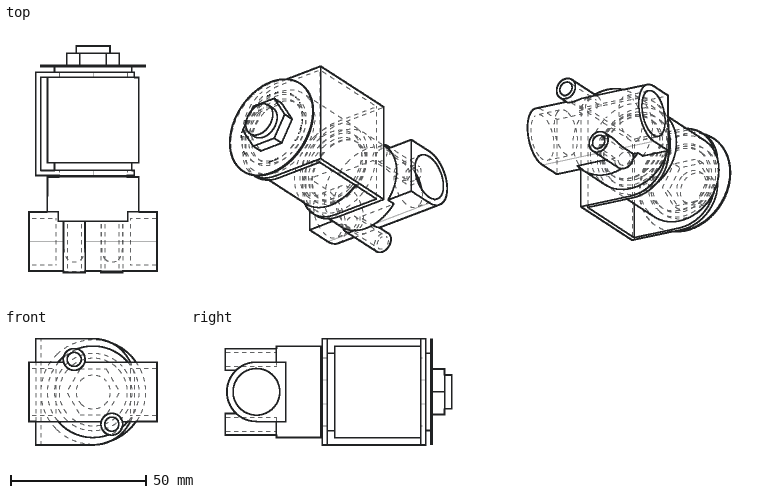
import cadquery as cq
import math


PIPE_LENGTH = 47.5
PIPE_RADIUS = 11.0
PIPE_FRONT = 0.6
PIPE_BACK = 22.5
PIPE_AXIS_Y = PIPE_FRONT + PIPE_RADIUS
PORT_RADIUS = 8.65
PORT_DEPTH = 10.0

BASE_RADIUS = 16.95
BASE_FRONT = 19.0
BASE_BACK = 35.4
NECK_RADIUS = 12.6
COLLAR_RADIUS = 14.35
COIL_RADIUS = BASE_RADIUS
COIL_FRONT = 40.6
WASHER_RADIUS = 19.4
WASHER_THICKNESS = 0.5
WASHER_BACK = 76.7
NUT_BACK = 81.25
NUT_ACROSS_FLATS = 16.95
STUD_RADIUS = 6.3
STUD_BACK = 83.9

NOZZLE_RADIUS = 4.0
NOZZLE_BORE_RADIUS = 2.6
NOZZLE_X = 7.0
NOZZLE_Z = 12.0

BRACKET_FRONT = 35.9
BRACKET_BACK = 74.3
BRACKET_HEIGHT = 39.45
BRACKET_LEFT = -21.2
BRACKET_RIGHT = 15.3
BRACKET_THICKNESS = 1.9
BRACKET_CORNER_RADIUS = BRACKET_RIGHT
FRONT_ARM_BACK = BRACKET_FRONT + BRACKET_THICKNESS
BACK_ARM_FRONT = BRACKET_BACK - BRACKET_THICKNESS


def section_at(y):
    """Workplane across the solenoid axis that extrudes toward +Y."""
    return cq.Workplane("XZ", origin=(0, y, 0))


def cylinder(radius, y_front, y_back, x=0, z=0):
    """Cylinder parallel to Y between two Y positions."""
    return section_at(y_front).center(x, z).circle(radius).extrude(y_front - y_back)


def make_pipe():
    """D-section cross pipe."""
    half_length = PIPE_LENGTH / 2
    return (
        cq.Workplane("YZ", origin=(-half_length, 0, 0))
        .moveTo(PIPE_BACK, PIPE_RADIUS)
        .lineTo(PIPE_AXIS_Y, PIPE_RADIUS)
        .threePointArc((PIPE_FRONT, 0), (PIPE_AXIS_Y, -PIPE_RADIUS))
        .lineTo(PIPE_BACK, -PIPE_RADIUS)
        .close()
        .extrude(PIPE_LENGTH)
    )


def make_port(side):
    """Blind port to cut into the left (-1) or right (+1) pipe end."""
    return (
        cq.Workplane("YZ", origin=(side * PIPE_LENGTH / 2, 0, 0))
        .center(PIPE_AXIS_Y, 0)
        .circle(PORT_RADIUS)
        .extrude(-side * PORT_DEPTH)
    )


def make_nut():
    """Hexagon nut with two corners pointing along X."""
    across_corners = NUT_ACROSS_FLATS / math.cos(math.pi / 6)
    return section_at(WASHER_BACK).polygon(6, across_corners).extrude(WASHER_BACK - NUT_BACK)


def make_valve():
    """Cross pipe, nozzles, base, coil and stud fastening."""
    washer_front = WASHER_BACK - WASHER_THICKNESS
    turned_steps = [
        (BASE_RADIUS, BASE_FRONT, BASE_BACK),
        (NECK_RADIUS, BASE_BACK, FRONT_ARM_BACK),
        (COLLAR_RADIUS, FRONT_ARM_BACK, COIL_FRONT),
        (COIL_RADIUS, COIL_FRONT, BACK_ARM_FRONT),
        (NECK_RADIUS, BACK_ARM_FRONT, BRACKET_BACK),
        (COLLAR_RADIUS, BRACKET_BACK, washer_front),
        (WASHER_RADIUS, washer_front, WASHER_BACK),
        (STUD_RADIUS, NUT_BACK, STUD_BACK),
    ]
    body = make_pipe().union(make_nut())
    for radius, y_front, y_back in turned_steps:
        body = body.union(cylinder(radius, y_front, y_back))

    nozzle_places = [(-NOZZLE_X, NOZZLE_Z), (NOZZLE_X, -NOZZLE_Z)]
    for x, z in nozzle_places:
        body = body.union(cylinder(NOZZLE_RADIUS, 0, BASE_FRONT, x, z))
    for x, z in nozzle_places:
        body = body.cut(cylinder(NOZZLE_BORE_RADIUS, 0, BASE_FRONT, x, z))

    for side in (-1, 1):
        body = body.cut(make_port(side))
    return body


def make_bracket():
    """U-shaped bracket with rounded arm ends and a neck hole in each arm."""
    length = BRACKET_RIGHT - BRACKET_LEFT
    depth = BRACKET_BACK - BRACKET_FRONT
    center_x = (BRACKET_LEFT + BRACKET_RIGHT) / 2
    center_y = (BRACKET_FRONT + BRACKET_BACK) / 2
    outer = (
        cq.Workplane("XY")
        .box(length, depth, BRACKET_HEIGHT)
        .translate((center_x, center_y, 0))
        .edges("|Y and >X")
        .fillet(BRACKET_CORNER_RADIUS)
    )
    opening = (
        cq.Workplane("XY")
        .box(length, depth - 2 * BRACKET_THICKNESS, BRACKET_HEIGHT)
        .translate((center_x + BRACKET_THICKNESS, center_y, 0))
    )
    neck_hole = cylinder(NECK_RADIUS, BRACKET_FRONT, BRACKET_BACK)
    return outer.cut(opening).cut(neck_hole)


valve = make_valve()
bracket = make_bracket()

result = cq.Compound.makeCompound([valve.solids().val(), bracket.solids().val()])